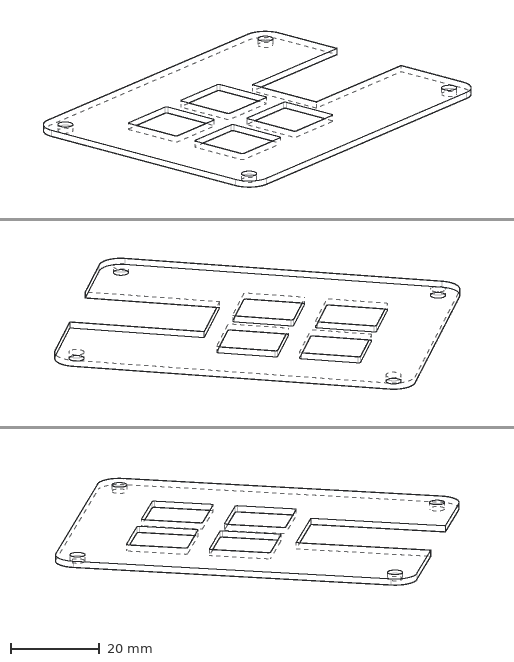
import cadquery as cq

width = 62.85
length = 82.9
thickness = 1.5
corner_radius = 5.0

hole_diameter = 3.4
hole_span_x = width - 2 * corner_radius
hole_span_y = length - 2 * corner_radius

notch_width = 18.4
notch_depth = 30.9
notch_center_x = -0.5

window_size = 14.0
window_pitch = 19.1
window_corner_radius = 0.5
grid_center = (0.6, -10.45)


def make_plate():
    plate = cq.Workplane("XY").box(width, length, thickness)
    return plate.edges("|Z").fillet(corner_radius)


def make_mounting_holes():
    return (
        cq.Workplane("XY")
        .rect(hole_span_x, hole_span_y, forConstruction=True)
        .vertices()
        .circle(hole_diameter / 2)
        .extrude(thickness, both=True)
    )


def make_notch():
    notch_center_y = length / 2 - notch_depth / 2
    return (
        cq.Workplane("XY")
        .center(notch_center_x, notch_center_y)
        .rect(notch_width, notch_depth)
        .extrude(thickness, both=True)
    )


def make_windows():
    return (
        cq.Workplane("XY")
        .center(*grid_center)
        .rarray(window_pitch, window_pitch, 2, 2)
        .rect(window_size, window_size)
        .extrude(thickness, both=True)
        .edges("|Z")
        .fillet(window_corner_radius)
    )


result = make_plate().cut(make_mounting_holes()).cut(make_notch()).cut(make_windows())